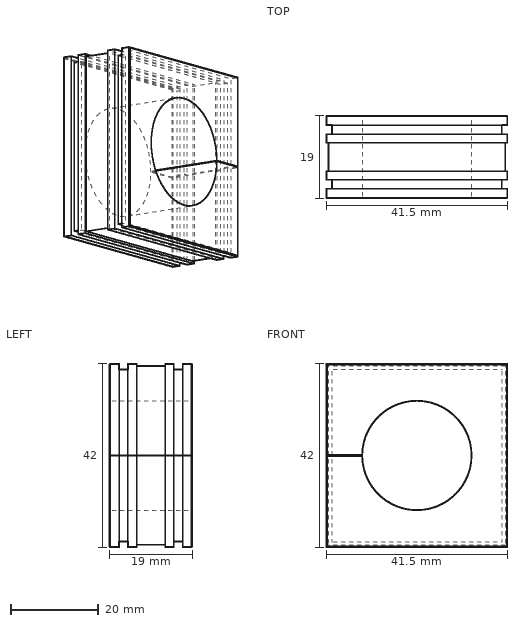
import cadquery as cq

width = 41.5
depth = 19.0
height = 42.0

end_flange = 2.23
groove_width = 2.0
rib_width = 2.0
groove_depth = 1.25
waist_depth = 0.5
waist_width = depth - 2 * (end_flange + groove_width + rib_width)

edge_chamfer = 0.2
bore_diameter = 25.0
slit_gap = 0.15


def perimeter_channel(center_y, channel_width, channel_depth):
    """Rectangular ring that cuts a channel around all four sides of the block."""
    outer = cq.Workplane("XY").box(width, channel_width, height)
    core = cq.Workplane("XY").box(
        width - 2 * channel_depth, channel_width, height - 2 * channel_depth
    )
    return outer.cut(core).translate((0, center_y, 0))


body = cq.Workplane("XY").box(width, depth, height)
body = body.faces("<Y or >Y").edges().chamfer(edge_chamfer)

body = body.cut(perimeter_channel(0, waist_width, waist_depth))
groove_y = depth / 2 - end_flange - groove_width / 2
for side in (-1, 1):
    body = body.cut(perimeter_channel(side * groove_y, groove_width, groove_depth))

bore = cq.Workplane("XZ").circle(bore_diameter / 2).extrude(depth / 2, both=True)
body = body.cut(bore)

slit = cq.Workplane("XY").box(width / 2, depth, slit_gap).translate((-width / 4, 0, 0))
result = body.cut(slit)